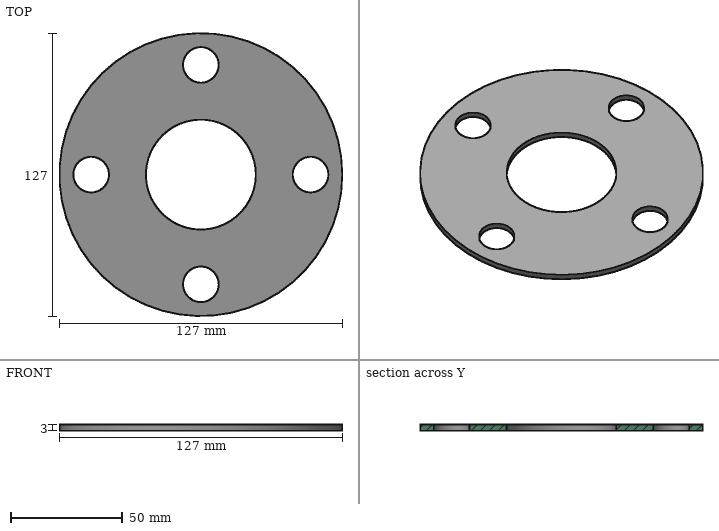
import cadquery as cq

outer_diameter = 127.0
bore_diameter = 49.21
thickness = 3.0

bolt_hole_diameter = 15.88
bolt_circle_diameter = 98.43
bolt_hole_count = 4
first_bolt_angle = 0.0
full_turn = 360.0


def make_ring():
    """Flat disc with the central bore, resting on the XY plane."""
    return (
        cq.Workplane("XY")
        .circle(outer_diameter / 2)
        .circle(bore_diameter / 2)
        .extrude(thickness)
    )


def make_bolt_holes():
    """Cylinders to cut, evenly spaced on the bolt circle."""
    return (
        cq.Workplane("XY")
        .polarArray(bolt_circle_diameter / 2, first_bolt_angle, full_turn, bolt_hole_count)
        .circle(bolt_hole_diameter / 2)
        .extrude(thickness)
    )


result = make_ring().cut(make_bolt_holes())